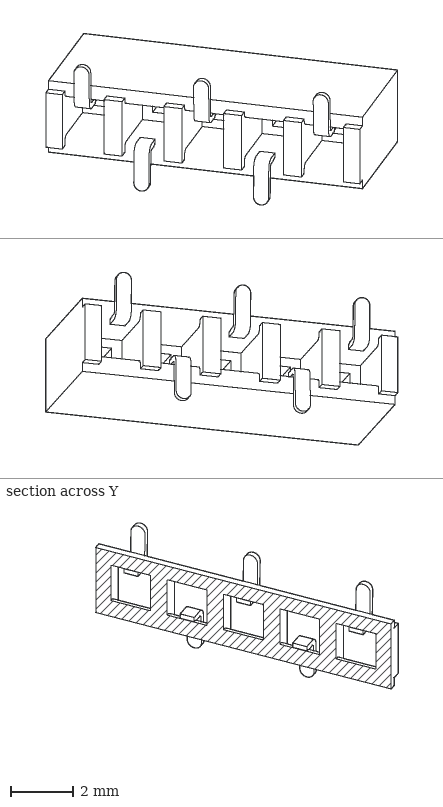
import cadquery as cq
import math

length = 10.5
housing_depth = 4.0
housing_height = 2.5
housing_drop = 0.04
front_y = -housing_depth / 2

contact_count = 5
end_to_first_contact = 1.25
pitch = (length - 2 * end_to_first_contact) / (contact_count - 1)
contact_xs = [-length / 2 + end_to_first_contact + i * pitch for i in range(contact_count)]

cavity_width = 1.4
cavity_height = 1.33
cavity_depth = housing_depth / 2
mouth_radius = 0.18
rib_height = 1.9
rib_projection = 0.3

opening_width = 0.7
opening_height = 0.74

tail_width = 0.5
tail_thickness = 0.2
tail_inner_z = 0.5
leg_length = 0.41
bend_radius = 0.28
tail_lean = math.radians(2)
tail_tip_y = front_y - 0.5
tail_tip_z = 2.05


def make_housing():
    """Block with a lower raised band on the solder side, which the cavities split into ribs."""
    block = cq.Workplane("XY").box(length, housing_depth, housing_height)
    band = (
        cq.Workplane("XY")
        .box(length, rib_projection, rib_height)
        .translate((0, front_y - rib_projection / 2, 0))
    )
    return block.union(band).translate((0, 0, -housing_drop))


def make_cavity(x):
    """Pocket with a mouth that is rounded along its upper and lower edges."""
    half_height = cavity_height / 2
    mouth_half_height = half_height + mouth_radius
    back_y = front_y + cavity_depth
    pocket = (
        cq.Workplane("YZ")
        .moveTo(back_y, -half_height)
        .lineTo(front_y + mouth_radius, -half_height)
        .radiusArc((front_y, -mouth_half_height), -mouth_radius)
        .lineTo(front_y, mouth_half_height)
        .radiusArc((front_y + mouth_radius, half_height), -mouth_radius)
        .lineTo(back_y, half_height)
        .close()
        .extrude(cavity_width / 2, both=True)
    )
    rib_gap = (
        cq.Workplane("XY")
        .box(cavity_width, rib_projection, housing_height)
        .translate((0, front_y - rib_projection / 2, 0))
    )
    opening = cq.Workplane("XY").box(opening_width, housing_depth, opening_height)
    return pocket.union(rib_gap).union(opening).translate((x, 0, 0))


def make_tail():
    """Upward tail: a short leg set into the cavity roof, a bend and a blade that leans outward."""
    leg_bottom = tail_inner_z
    leg_top = leg_bottom + tail_thickness
    inner_radius = bend_radius - tail_thickness

    bend_z = leg_bottom + bend_radius
    blade_length = (tail_tip_z - bend_z + bend_radius * math.sin(tail_lean)) / math.cos(tail_lean)
    bend_y = tail_tip_y + bend_radius * math.cos(tail_lean) + blade_length * math.sin(tail_lean)
    leg_back_y = bend_y + leg_length

    def on_bend(radius, angle):
        """Point on the bend, with the angle measured downward from the -Y direction."""
        return (bend_y - radius * math.cos(angle), bend_z - radius * math.sin(angle))

    def blade_end(radius):
        """Point on the tip plane, straight up the leaning blade from the bend."""
        start_y, start_z = on_bend(radius, tail_lean)
        return (start_y - (tail_tip_z - start_z) * math.tan(tail_lean), tail_tip_z)

    mid_bend = (math.pi / 2 + tail_lean) / 2
    profile = (
        cq.Workplane("YZ")
        .moveTo(leg_back_y, leg_bottom)
        .lineTo(*on_bend(bend_radius, math.pi / 2))
        .threePointArc(on_bend(bend_radius, mid_bend), on_bend(bend_radius, tail_lean))
        .lineTo(*blade_end(bend_radius))
        .lineTo(*blade_end(inner_radius))
        .lineTo(*on_bend(inner_radius, tail_lean))
        .threePointArc(on_bend(inner_radius, mid_bend), on_bend(inner_radius, math.pi / 2))
        .lineTo(leg_back_y, leg_top)
        .close()
        .extrude(tail_width / 2, both=True)
    )

    half_width = tail_width / 2
    round_tip = (
        cq.Workplane("XZ")
        .moveTo(-half_width, 0)
        .lineTo(-half_width, tail_tip_z - half_width)
        .threePointArc((0, tail_tip_z), (half_width, tail_tip_z - half_width))
        .lineTo(half_width, 0)
        .close()
        .extrude(housing_depth, both=True)
    )
    return profile.intersect(round_tip)


result = make_housing()
for contact_x in contact_xs:
    result = result.cut(make_cavity(contact_x))

upward_tail = make_tail()
downward_tail = upward_tail.mirror("XY")
for index, contact_x in enumerate(contact_xs):
    tail = upward_tail if index % 2 == 0 else downward_tail
    result = result.union(tail.translate((contact_x, 0, 0)))